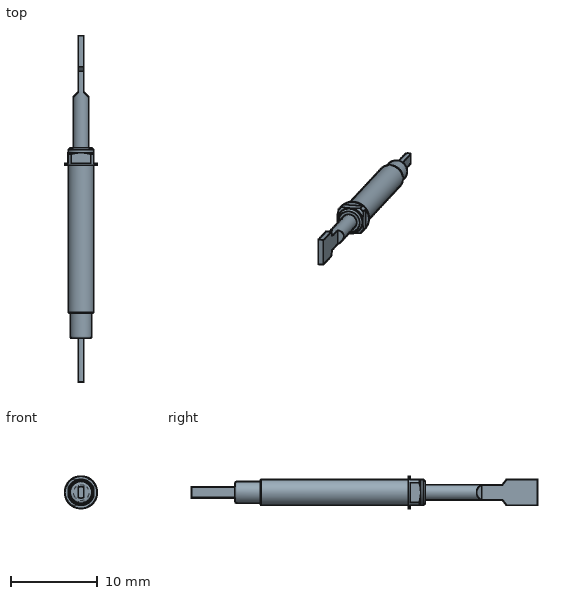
import cadquery as cq

total_length = 40.0
tip_y = total_length / 2


plunger_diameter = 1.8
blade_width = 3.0
blade_thickness = 0.65
blade_wide_length = 3.6
blade_shoulder_length = 0.5
flat_length = 6.5

head_start = 12.95
square_start = 13.5
collar_start = 14.7
collar_end = 14.95
barrel_end = 32.05
rear_end = 34.95

barrel_diameter = 3.0
barrel_chamfer = 0.1
collar_diameter = 3.75
head_chamfer = 0.25
square_cone_length = 0.15
rear_diameter = 2.5
rear_rounding = 0.25

tail_diameter = 1.3
tail_thickness = blade_thickness


def cylinder(diameter, start, end):
    """Cylinder along Y between two distances from the tip."""
    workplane = cq.Workplane("XZ", origin=(0, tip_y - start, 0))
    return workplane.circle(diameter / 2).extrude(end - start)


def slab(width, thickness, start, end):
    """Box centred on the Y axis: thickness along X, width along Z."""
    workplane = cq.Workplane("XZ", origin=(0, tip_y - start, 0))
    return workplane.rect(thickness, width).extrude(end - start)


def make_flats_envelope():
    """Envelope of the milled flats, whose 45 degree run-outs open out to the collar width."""
    half_thickness = blade_thickness / 2
    half_envelope = collar_diameter / 2
    flat_end_y = tip_y - flat_length
    runout_end_y = flat_end_y - (half_envelope - half_thickness)
    rear_y = tip_y - head_start
    return (
        cq.Workplane("XY")
        .moveTo(-half_thickness, tip_y)
        .lineTo(half_thickness, tip_y)
        .lineTo(half_thickness, flat_end_y)
        .lineTo(half_envelope, runout_end_y)
        .lineTo(half_envelope, rear_y)
        .lineTo(-half_envelope, rear_y)
        .lineTo(-half_envelope, runout_end_y)
        .lineTo(-half_thickness, flat_end_y)
        .close()
        .extrude(half_envelope, both=True)
    )


def make_plunger():
    """Turned plunger with a conical shoulder behind its wide tip, milled flat on both X sides."""
    shoulder_y = tip_y - blade_wide_length
    neck_y = shoulder_y - blade_shoulder_length
    rear_y = tip_y - head_start
    turned = (
        cq.Workplane("XY")
        .moveTo(0, tip_y)
        .lineTo(blade_width / 2, tip_y)
        .lineTo(blade_width / 2, shoulder_y)
        .lineTo(plunger_diameter / 2, neck_y)
        .lineTo(plunger_diameter / 2, rear_y)
        .lineTo(0, rear_y)
        .close()
        .revolve(360, (0, 0, 0), (0, 1, 0))
    )
    return turned.intersect(make_flats_envelope())


def make_barrel():
    """Chamfered head ring, square section with coned corners, collar, main barrel and rear sleeve."""
    head = cylinder(barrel_diameter, head_start, square_start).faces(">Y").chamfer(head_chamfer)
    square = slab(barrel_diameter, barrel_diameter, square_start, collar_start)
    corner_trim = cylinder(collar_diameter, square_start, collar_start)
    corner_depth = (collar_diameter - barrel_diameter) / 2
    square = square.intersect(corner_trim.faces(">Y").chamfer(square_cone_length, corner_depth))
    collar = cylinder(collar_diameter, collar_start, collar_end)
    main = cylinder(barrel_diameter, collar_end, barrel_end).faces("<Y").chamfer(barrel_chamfer)
    rear = cylinder(rear_diameter, barrel_end, rear_end).faces("<Y").edges().fillet(rear_rounding)
    return head.union(square).union(collar).union(main).union(rear)


def make_tail():
    """Round tail flattened on both X sides."""
    round_tail = cylinder(tail_diameter, rear_end, total_length)
    return round_tail.intersect(slab(tail_diameter, tail_thickness, rear_end, total_length))


result = make_plunger().union(make_barrel()).union(make_tail())